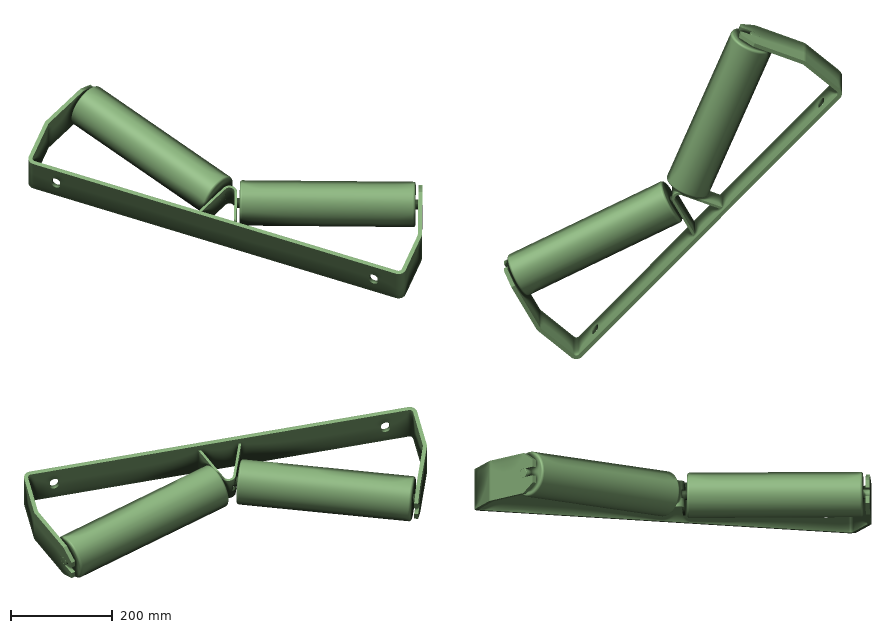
import cadquery as cq
import math

tilt = 20.0
sin_tilt = math.sin(math.radians(tilt))
cos_tilt = math.cos(math.radians(tilt))
tan_tilt = math.tan(math.radians(tilt))

frame_length = 790.0
strip_width = 80.0
strip_thickness = 8.0
bend_radius = 15.0
arm_bend_y = 105.0
arm_tip_past_pin = 30.5
arm_chamfer_length = 30.0
arm_chamfer_depth = 17.0
mounting_slot_spacing = 666.0
mounting_slot_width = 18.0
mounting_slot_height = 28.0

roller_diameter = 89.0
roller_length = 345.0
roller_edge_radius = 4.5
roller_top_y = 240.42
pin_diameter = 20.0
end_gap = 5.5
pin_flat_width = 17.0
pin_end_chamfer = 0.5

bracket_thickness = 5.0
bracket_width = 52.0
bracket_crown_radius = 15.0

half_length = frame_length / 2
roller_radius = roller_diameter / 2
pin_radius = pin_diameter / 2

roller_rise = (
    (roller_radius - roller_edge_radius) * cos_tilt
    + roller_edge_radius
    - roller_edge_radius * sin_tilt
)
upper_face_y = roller_top_y - roller_rise

pin_outer_reach = end_gap + strip_thickness
pin_outer_y = upper_face_y + pin_outer_reach * sin_tilt
pin_outer_x = -half_length + (pin_outer_y - arm_bend_y) * tan_tilt

roller_plane = cq.Plane(
    origin=(pin_outer_x, pin_outer_y, 0),
    xDir=(cos_tilt, -sin_tilt, 0),
    normal=(0, 0, 1),
)
roller_start = pin_outer_reach
roller_end = roller_start + roller_length
bracket_outer = roller_end + end_gap
slot_reach = 40.0
pin_end = bracket_outer + bracket_thickness


def mirrored(body):
    return body.mirror("YZ")


def along_arm(distance, depth):
    """Point at a distance from the pin toward the arm tip, and a depth below the outer face."""
    return roller_plane.toWorldCoords((depth, distance, 0)).toTuple()[:2]


def make_half_frame():
    tip_outer = along_arm(arm_tip_past_pin, 0)
    tip_inner = along_arm(arm_tip_past_pin, strip_thickness)
    inner_x = -half_length + strip_thickness
    inner_bend_y = arm_bend_y - strip_thickness * math.tan(math.radians(tilt / 2))
    strip = (
        cq.Workplane("XY")
        .polyline([
            (0, 0),
            (-half_length, 0),
            (-half_length, arm_bend_y),
            tip_outer,
            tip_inner,
            (inner_x, inner_bend_y),
            (inner_x, strip_thickness),
            (0, strip_thickness),
        ])
        .close()
        .extrude(strip_width / 2, both=True)
    )
    inner_radius = bend_radius - strip_thickness

    def round_bend(body, x, y, radius):
        edge = cq.selectors.NearestToPointSelector((x, y, 0))
        return body.edges("|Z").edges(edge).fillet(radius)

    strip = round_bend(strip, -half_length, 0, bend_radius)
    strip = round_bend(strip, -half_length, arm_bend_y, bend_radius)
    strip = round_bend(strip, inner_x, strip_thickness, inner_radius)
    strip = round_bend(strip, inner_x, inner_bend_y, inner_radius)
    return strip.cut(make_arm_chamfers()).cut(make_slot(0, strip_thickness)).cut(make_mounting_slot())


def across_axis(depth):
    """Workplane square to the roller axis at a depth along it: x toward the arm tip, y along Z."""
    return cq.Workplane(
        cq.Plane(
            origin=roller_plane.toWorldCoords((depth, 0, 0)),
            xDir=(sin_tilt, cos_tilt, 0),
            normal=(cos_tilt, -sin_tilt, 0),
        )
    )


def make_arm_chamfers():
    corner = (
        across_axis(0)
        .moveTo(arm_tip_past_pin - arm_chamfer_length, strip_width / 2)
        .lineTo(arm_tip_past_pin, strip_width / 2)
        .lineTo(arm_tip_past_pin, strip_width / 2 - arm_chamfer_depth)
        .close()
        .extrude(strip_thickness)
    )
    return corner.union(corner.mirror("XY"))


def make_slot(depth, length):
    """Pin slot, open toward the arm tip, whose closed end fits the flatted pin."""
    open_part = (
        across_axis(depth)
        .center(slot_reach / 2, 0)
        .rect(slot_reach, pin_flat_width)
        .extrude(length)
    )
    return open_part.union(make_flatted_pin(depth, length))


def make_flatted_pin(depth, length):
    return (
        across_axis(depth)
        .rect(2 * pin_diameter, pin_flat_width)
        .extrude(length)
        .intersect(across_axis(depth).circle(pin_radius).extrude(length))
    )


def make_mounting_slot():
    return (
        cq.Workplane("XZ")
        .center(-mounting_slot_spacing / 2, 0)
        .slot2D(mounting_slot_height, mounting_slot_width, 90)
        .extrude(-strip_thickness)
    )


def make_frame():
    half = make_half_frame()
    return half.union(mirrored(half))


def make_left_roller():
    barrel = (
        across_axis(roller_start)
        .circle(roller_radius)
        .extrude(roller_length)
        .edges()
        .fillet(roller_edge_radius)
    )
    flatted_pin = make_flatted_pin(0, pin_end).faces("<X or >X").chamfer(pin_end_chamfer)
    return barrel.union(flatted_pin)


def make_bracket():
    face_point = roller_plane.toWorldCoords((bracket_outer, 0, 0))
    apex_y = face_point.y - face_point.x / tan_tilt
    crown_y = apex_y - bracket_crown_radius / sin_tilt

    def wedge(radius):
        """Solid inverted V with a round crown of the given radius."""
        tangent_x = radius * cos_tilt
        tangent_y = crown_y + radius * sin_tilt
        foot_x = tangent_x + (tangent_y - strip_thickness) * tan_tilt
        return (
            cq.Workplane("XY")
            .moveTo(-foot_x, strip_thickness)
            .lineTo(-tangent_x, tangent_y)
            .threePointArc((0, crown_y + radius), (tangent_x, tangent_y))
            .lineTo(foot_x, strip_thickness)
            .close()
            .extrude(bracket_width / 2, both=True)
        )

    bent_strip = wedge(bracket_crown_radius).cut(wedge(bracket_crown_radius - bracket_thickness))
    slot = make_slot(bracket_outer, bracket_thickness)
    return bent_strip.cut(slot).cut(mirrored(slot))


frame = make_frame()
left_roller = make_left_roller()
right_roller = mirrored(left_roller)
bracket = make_bracket()

result = cq.Compound.makeCompound(
    [frame.val(), bracket.val(), left_roller.val(), right_roller.val()]
)